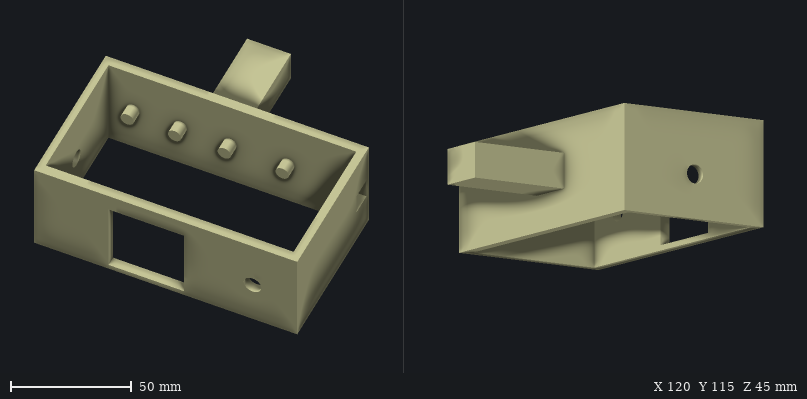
import cadquery as cq

length = 120.0
depth = 70.0
height = 45.0
left_wall = 3.2
right_wall = 3.7
front_wall = 4.5
back_wall = 4.3

handle_left = 43.5
handle_width = 20.0
handle_length = 45.0
handle_height = 15.0
handle_bottom = 15.5

pin_diameter = 6.0
pin_length = 5.9
pin_height = 22.7
pin_positions = [14.5, 36.1, 58.8, 85.2]

window_size = 34.5
window_left = 34.0
window_bottom = 2.3

hole_diameter = 8.0
front_hole_x = 99.6
front_hole_z = 21.0
left_hole_y = 34.5
left_hole_z = 18.8

port_size = 10.0
port_back_overlap = 2.0
port_inner_reach = 1.0
port_bottom = 16.9

inner_length = length - left_wall - right_wall
inner_depth = depth - front_wall - back_wall
inner_back = depth - back_wall


def box_at(x, y, z, size_x, size_y, size_z):
    """Box with its lowest corner at the given point."""
    return cq.Workplane("XY").box(size_x, size_y, size_z, centered=False).translate((x, y, z))


def cylinder_at(start, direction, diameter, cylinder_length):
    """Cylinder running from a start point along a direction."""
    return cq.Workplane(
        cq.Solid.makeCylinder(diameter / 2, cylinder_length, cq.Vector(*start), cq.Vector(*direction))
    )


frame = box_at(0, 0, 0, length, depth, height)
frame = frame.cut(box_at(left_wall, front_wall, 0, inner_length, inner_depth, height))

handle = box_at(handle_left, depth, handle_bottom, handle_width, handle_length, handle_height)
frame = frame.union(handle)

for pin_x in pin_positions:
    pin = cylinder_at((pin_x, depth, pin_height), (0, -1, 0), pin_diameter, back_wall + pin_length)
    frame = frame.union(pin)

frame = frame.cut(box_at(window_left, 0, window_bottom, window_size, front_wall, window_size))
frame = frame.cut(cylinder_at((front_hole_x, 0, front_hole_z), (0, 1, 0), hole_diameter, front_wall))
frame = frame.cut(cylinder_at((0, left_hole_y, left_hole_z), (1, 0, 0), hole_diameter, left_wall))

port_left = length - right_wall - port_inner_reach
port_front = inner_back + port_back_overlap - port_size
port_depth = right_wall + port_inner_reach
result = frame.cut(box_at(port_left, port_front, port_bottom, port_depth, port_size, port_size))